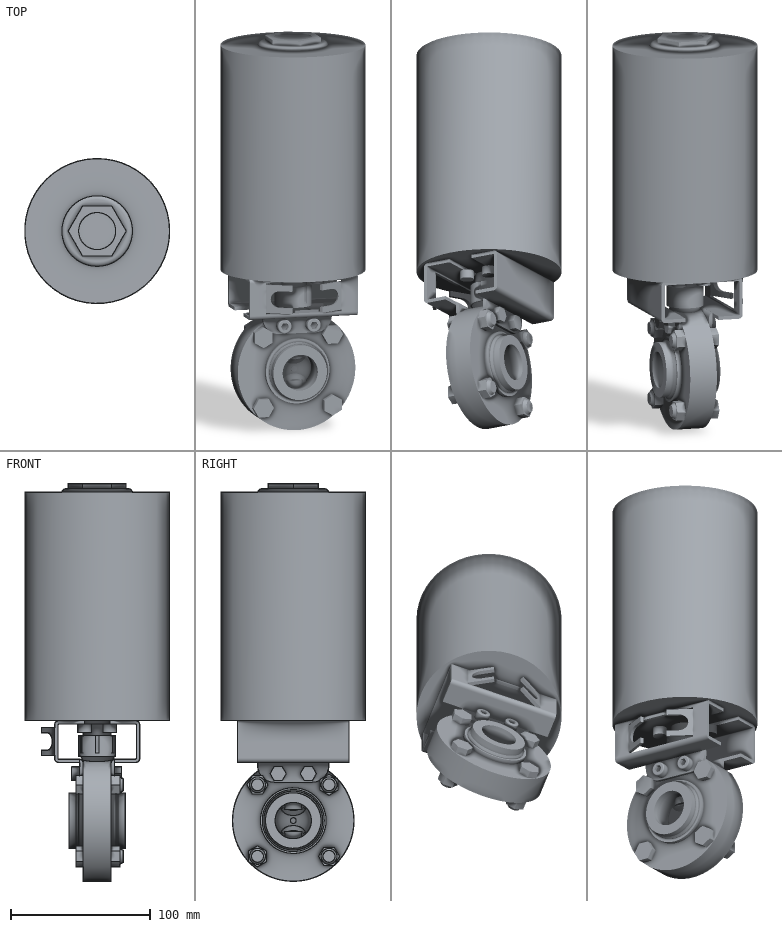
import cadquery as cq
import math


body_dia = 87.0
body_width = 20.0
body_half = body_width / 2
bore_dia = 26.0

stub_dia = 39.7
stub_reach = 20.25
stub_cone_start = 15.0
collar_dia = 42.2
collar_reach = 13.3
ring_dia = 47.0
groove_dia = 44.4
groove_depth = 0.4

flap_half_thickness = 3.0
flap_edge_round = 1.2
flap_button_dia = 4.13
flap_button_height = 0.3
hub_dia = 15.2
hub_start_z = 8.0
hub_end_z = 14.0
hub_boss_z = 10.0
hub_boss_half_width = 9.0
hub_boss_half_height = 6.4
hub_boss_thickness = 2.0
hub_boss_taper = 60.0

overall_height = 284.5
actuator_dia = 103.8
actuator_bottom = 71.5
actuator_top = 235.0
top_z = overall_height - body_dia / 2
cap_dia = 50.6
cap_height = 2.5
cap_round = 3.0
cap_hex_flats = 36.0
cap_recess_dia = 26.5
cap_recess_depth = 0.3

sheet = 2.5
bracket_length = 61.0
bracket_half = bracket_length / 2
bracket_depth = 80.0
bracket_bottom = 41.5
bracket_mid_z = (bracket_bottom + actuator_bottom) / 2
bend_radius = 3.0
flange_outer = body_half + sheet
flange_width = 51.0
flange_bottom = 27.4
flange_corner_radius = 12.0
top_slot_width = 18.5

window_width = 56.0
window_height = 22.8
window_z = 56.6
ear_height = 20.3
ear_gap_half = 11.3
ear_reach = 40.0
ear_slot_length = 50.0
ear_slot_height = 12.3

neck_bottom_dia = 21.0
neck_top_dia = 24.5
coupling_dia = 26.5
coupling_bottom = 46.0
coupling_top = 60.7
coupling_slot_width = 2.5
coupling_slot_depth = 1.2
coupling_slot_bottom = 48.4
coupling_slot_angles = (-150, -90, -30)
stem_dia = 20.0

mount_circle_dia = 36.0
mount_head_dia = 10.0
mount_head_height = 6.0
mount_angles = (60, 120, 240, 300)

bolt_spacing = 51.2
bolt_hex_flats = 13.0
bolt_head_height = 5.3
nut_height = 6.3
nut_cone_dia = 11.4
nut_tip_dia = 8.5
nut_cone_height = 2.4

screw_spacing = 21.6
screw_z = 33.6
screw_head_dia = 10.0
screw_head_height = 6.0
screw_socket_flats = 5.0
screw_socket_depth = 3.0
screw_socket_point = 1.2
screw_head_round = 0.75
screw_nut_flats = 10.0
screw_nut_height = 5.0


def rod_x(dia, x_start, x_end, y=0.0, z=0.0):
    """Cylinder along X between two X positions."""
    return cq.Workplane("YZ", origin=(x_start, y, z)).circle(dia / 2).extrude(x_end - x_start)


def rod_z(dia, z_start, z_end, x=0.0, y=0.0):
    """Cylinder along Z between two Z positions."""
    return cq.Workplane("XY", origin=(x, y, z_start)).circle(dia / 2).extrude(z_end - z_start)


def cone_x(dia_start, dia_end, x_start, x_end, y=0.0, z=0.0):
    """Truncated cone along X between two X positions."""
    solid = cq.Solid.makeCone(
        dia_start / 2, dia_end / 2, x_end - x_start, cq.Vector(x_start, y, z), cq.Vector(1, 0, 0)
    )
    return cq.Workplane(solid)


def hex_x(flats, x_start, x_end, y, z, turn=0.0):
    """Hexagonal prism along X; with no turn two of its corners point along Y."""
    corners = flats / math.cos(math.radians(30))
    prism = cq.Workplane("YZ", origin=(x_start, y, z)).polygon(6, corners).extrude(x_end - x_start)
    return prism.rotate((0, y, z), (1, y, z), turn)


def box_between(x_range, y_range, z_range):
    """Box given by its limits along each axis."""
    size = [limits[1] - limits[0] for limits in (x_range, y_range, z_range)]
    corner = (x_range[0], y_range[0], z_range[0])
    return cq.Workplane("XY").box(*size, centered=False).translate(corner)


def make_body():
    body = rod_x(body_dia, -body_half, body_half)
    stub = rod_x(ring_dia, 0, collar_reach)
    stub = stub.cut(rod_x(groove_dia, collar_reach - groove_depth, collar_reach))
    stub = stub.union(rod_x(collar_dia, 0, collar_reach))
    stub = stub.union(cone_x(collar_dia, stub_dia, collar_reach, stub_cone_start))
    stub = stub.union(rod_x(stub_dia, 0, stub_reach))
    body = body.union(stub).union(stub.mirror("YZ"))
    return body.cut(rod_x(bore_dia, -stub_reach, stub_reach))


def make_flap():
    """Closed butterfly disc with a stem hub and a tapered oval boss above and below its centre."""
    button_reach = flap_half_thickness + flap_button_height
    flap = rod_x(bore_dia, -flap_half_thickness, flap_half_thickness).edges().fillet(flap_edge_round)
    flap = flap.union(rod_x(flap_button_dia, -button_reach, button_reach))
    boss = (
        cq.Workplane("YZ", origin=(flap_half_thickness, 0, hub_boss_z))
        .ellipse(hub_boss_half_width, hub_boss_half_height)
        .extrude(hub_boss_thickness, taper=hub_boss_taper)
    )
    boss = boss.intersect(rod_x(bore_dia, 0, stub_reach))
    hub = rod_z(hub_dia, hub_start_z, hub_end_z).union(boss).union(boss.mirror("YZ"))
    return flap.union(hub).union(hub.mirror("XY"))


def make_actuator():
    actuator = rod_z(actuator_dia, actuator_bottom, actuator_top)
    cap = rod_z(cap_dia, actuator_top - cap_round, actuator_top + cap_height)
    cap = cap.faces(">Z").edges().fillet(cap_round)
    hex_corners = cap_hex_flats / math.cos(math.radians(30))
    hexagon = cq.Workplane("XY", origin=(0, 0, actuator_top)).polygon(6, hex_corners)
    cap = cap.union(hexagon.extrude(top_z - actuator_top))
    cap = cap.cut(rod_z(cap_recess_dia, top_z - cap_recess_depth, top_z))
    return actuator.union(cap)


def make_bracket_frame():
    """Rectangular sheet metal frame, open along Y, with the window in its -X wall."""
    height = actuator_bottom - bracket_bottom
    frame = cq.Workplane("XY", origin=(0, 0, bracket_mid_z)).box(bracket_length, bracket_depth, height)
    frame = frame.edges("|Y").fillet(bend_radius)
    inside = cq.Workplane("XY", origin=(0, 0, bracket_mid_z)).box(
        bracket_length - 2 * sheet, bracket_depth, height - 2 * sheet
    )
    frame = frame.cut(inside.edges("|Y").fillet(bend_radius - sheet))
    bottom_opening = box_between(
        (-flange_outer, flange_outer),
        (-bracket_depth / 2, bracket_depth / 2),
        (bracket_bottom, bracket_bottom + sheet),
    )
    window = cq.Workplane("XY", origin=(-bracket_half, 0, window_z)).box(
        2 * sheet, window_width, window_height
    )
    top_slot = rod_z(top_slot_width, actuator_bottom - sheet, actuator_bottom).union(
        box_between(
            (-top_slot_width / 2, top_slot_width / 2),
            (-bracket_depth / 2, 0),
            (actuator_bottom - sheet, actuator_bottom),
        )
    )
    return frame.cut(bottom_opening).cut(window).cut(top_slot)


def make_bracket_flanges():
    """Two flanges, bent down from the frame bottom along the faces of the body."""
    flange = box_between(
        (body_half, flange_outer),
        (-flange_width / 2, flange_width / 2),
        (flange_bottom, bracket_bottom + sheet),
    )
    flange = flange.edges("|X and <Z").fillet(flange_corner_radius)
    foot = box_between(
        (flange_outer, body_half + 2 * bend_radius),
        (-flange_width / 2, flange_width / 2),
        (bracket_bottom, bracket_bottom + sheet),
    )
    flange = flange.union(foot)
    flange = flange.edges("|Y and <X and >Z").fillet(bend_radius)
    return flange.union(flange.mirror("YZ"))


def make_ears():
    """Two ears that lean outward from the window edges, sharing one obround slot."""
    window_edge = window_width / 2
    slope = math.atan2(ear_reach - bracket_half, window_edge - ear_gap_half)
    shift_x = sheet * math.cos(slope)
    shift_y = sheet * math.sin(slope)
    ear = (
        cq.Workplane("XY", origin=(0, 0, window_z - ear_height / 2))
        .moveTo(-bracket_half, window_edge)
        .lineTo(-ear_reach, ear_gap_half)
        .lineTo(-ear_reach + shift_x, ear_gap_half - shift_y)
        .lineTo(-bracket_half + shift_x, window_edge - shift_y)
        .lineTo(-bracket_half + sheet, window_edge)
        .close()
        .extrude(ear_height)
    )
    slot = (
        cq.Workplane("YZ", origin=(-ear_reach, 0, window_z))
        .slot2D(ear_slot_length, ear_slot_height)
        .extrude(ear_reach - bracket_half + sheet)
    )
    return ear.union(ear.mirror("XZ")).cut(slot)


def make_stem():
    neck_bottom = body_dia / 2 - sheet
    neck = cq.Workplane("XY", origin=(0, 0, neck_bottom)).circle(neck_bottom_dia / 2)
    neck = neck.workplane(offset=coupling_bottom - neck_bottom).circle(neck_top_dia / 2)
    stem = neck.loft(ruled=True)
    stem = stem.union(rod_z(coupling_dia, coupling_bottom, coupling_top))
    for angle in coupling_slot_angles:
        slot = box_between(
            (coupling_dia / 2 - coupling_slot_depth, coupling_dia),
            (-coupling_slot_width / 2, coupling_slot_width / 2),
            (coupling_slot_bottom, coupling_top),
        )
        stem = stem.cut(slot.rotate((0, 0, 0), (0, 0, 1), angle))
    return stem.union(rod_z(stem_dia, coupling_top, actuator_bottom - sheet))


def make_mounting_screws():
    head_top = actuator_bottom - sheet
    screws = cq.Workplane("XY")
    for angle in mount_angles:
        x = mount_circle_dia / 2 * math.cos(math.radians(angle))
        y = mount_circle_dia / 2 * math.sin(math.radians(angle))
        screws = screws.union(rod_z(mount_head_dia, head_top - mount_head_height, head_top, x, y))
    return screws


def make_body_bolts():
    """Hexagon bolts at the corners of a square, each turned by 90 degrees from its neighbours."""
    nut_end = body_half + nut_height
    half = bolt_spacing / 2
    bolts = cq.Workplane("XY")
    for y, z in ((half, half), (-half, half), (-half, -half), (half, -half)):
        turn = 90 if y * z > 0 else 0
        bolts = bolts.union(hex_x(bolt_hex_flats, -body_half - bolt_head_height, -body_half, y, z, turn))
        bolts = bolts.union(hex_x(bolt_hex_flats, body_half, nut_end, y, z, turn))
        tip = cone_x(nut_cone_dia, nut_tip_dia, nut_end, nut_end + nut_cone_height, y, z)
        bolts = bolts.union(tip)
    return bolts


def make_flange_screws():
    """Socket head screws on the -X flange with hexagon nuts on the +X flange."""
    head_end = -flange_outer - screw_head_height
    screws = cq.Workplane("XY")
    for y in (-screw_spacing / 2, screw_spacing / 2):
        head = rod_x(screw_head_dia, head_end, -flange_outer, y, screw_z)
        head = head.faces("<X").edges().fillet(screw_head_round)
        socket_end = head_end + screw_socket_depth
        socket = hex_x(screw_socket_flats, head_end, socket_end, y, screw_z)
        point = cone_x(screw_socket_flats, 0, socket_end, socket_end + screw_socket_point, y, screw_z)
        socket = socket.union(point)
        screws = screws.union(head.cut(socket))
        nut = hex_x(screw_nut_flats, flange_outer, flange_outer + screw_nut_height, y, screw_z)
        screws = screws.union(nut)
    return screws


result = make_body().union(make_flap())
for component in (
    make_stem(),
    make_bracket_frame(),
    make_bracket_flanges(),
    make_ears(),
    make_actuator(),
    make_mounting_screws(),
    make_body_bolts(),
    make_flange_screws(),
):
    result = result.union(component)